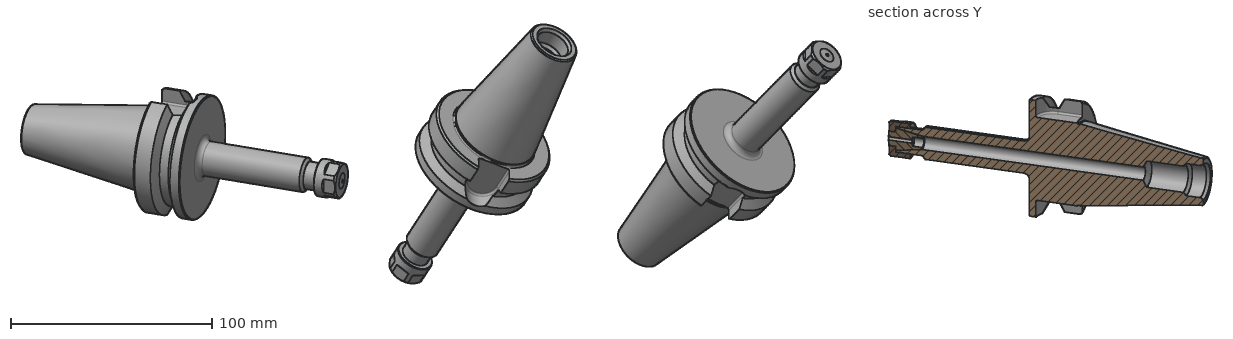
import cadquery as cq
import math


LENGTH = 167.0

TAPER_LENGTH = 65.5
TAPER_END_RADIUS = 22.2
TAPER_RATIO = 7 / 48
TAPER_START_RADIUS = TAPER_END_RADIUS - TAPER_RATIO * TAPER_LENGTH
TAPER_END_CHAMFER = 0.7

FLANGE_START = 67.3
FLANGE_END = 92.4
FLANGE_RADIUS = 63.0 / 2
FLANGE_CHAMFER = 1.0
FLANGE_END_CHAMFER = 0.5
UNDERCUT_RADIUS = 44.0 / 2
UNDERCUT_FILLET = 0.8
GROOVE_MIDDLE = 82.0
GROOVE_ROOT_WIDTH = 4.7
GROOVE_ROOT_RADIUS = 53.0 / 2
GROOVE_FLANK_ANGLE = 30

SLOT_WIDTH = 17.0
SLOT_END = 88.8
SLOT_FLOOR = 22.4
SLOT_FLOOR_FILLET = 1.0

SHAFT_RADIUS = 17.5 / 2
SHAFT_FILLET = 3.0
SHAFT_END = 148.8
SHAFT_CHAMFER = 1.5
NOSE_RADIUS = 14.0 / 2
NOSE_END = 163.0

MOUTH_RADIUS = 19.0 / 2
COUNTERBORE_RADIUS = 17.0 / 2
COUNTERBORE_DEPTH = 9.2
THREAD_BORE_RADIUS = 13.9 / 2
THREAD_BORE_DEPTH = 30.0
COOLANT_RADIUS = 6.8 / 2
MOUTH_ANGLE = 30
STEP_ANGLE = 45
DRILL_ANGLE = 60

COLLET_START = 149.0
COLLET_REAR_RADIUS = COOLANT_RADIUS
COLLET_LARGE_RADIUS = 11.9 / 2
COLLET_FRONT_RADIUS = 8.0 / 2
COLLET_TIP_RADIUS = 1.0
COLLET_HOLE_RADIUS = 1.52 / 2
COLLET_RELIEF_RADIUS = 2.3
COLLET_RELIEF_DEPTH = 5.0
COLLET_RELIEF_TIP_RADIUS = 1.8

NUT_START = 155.1
NUT_END = 166.7
NUT_RADIUS = 19.0 / 2
NUT_REAR_CHAMFER = 0.3
NUT_FRONT_CHAMFER = 1.0
FLAT_COUNT = 6
FLAT_DISTANCE = 17.5 / 2
FLAT_START = 160.3
FLAT_RUNOUT = 0.7


def cone_length(large_radius, small_radius, angle):
    """Axial length of a cone whose side makes the given angle in degrees with the axis."""
    return (large_radius - small_radius) / math.tan(math.radians(angle))


def turned(profile):
    """Close an outline of (x, radius) points and revolve it about the X axis."""
    return profile.close().revolve(360, (0, 0, 0), (1, 0, 0))


def slot_cutter():
    """Round-ended drive slot above the axis, with rounded floor edges."""
    arc_centre = SLOT_END - SLOT_WIDTH / 2
    height = FLANGE_RADIUS
    cutter = (
        cq.Workplane("XY", origin=(0, 0, SLOT_FLOOR))
        .moveTo(TAPER_LENGTH, -SLOT_WIDTH / 2)
        .lineTo(arc_centre, -SLOT_WIDTH / 2)
        .threePointArc((SLOT_END, 0), (arc_centre, SLOT_WIDTH / 2))
        .lineTo(TAPER_LENGTH, SLOT_WIDTH / 2)
        .close()
        .extrude(height)
    )
    return cutter.faces("<Z").edges("not <X").fillet(SLOT_FLOOR_FILLET)


def holder_blank():
    """Outer shape of the holder, before its bore and slots are cut."""
    flank = (FLANGE_RADIUS - GROOVE_ROOT_RADIUS) * math.tan(math.radians(GROOVE_FLANK_ANGLE))
    root_start = GROOVE_MIDDLE - GROOVE_ROOT_WIDTH / 2
    root_end = GROOVE_MIDDLE + GROOVE_ROOT_WIDTH / 2
    arc_offset = 1 - math.sqrt(0.5)
    return turned(
        cq.Workplane("XY")
        .moveTo(0, 0)
        .lineTo(0, TAPER_START_RADIUS - TAPER_END_CHAMFER)
        .lineTo(TAPER_END_CHAMFER, TAPER_START_RADIUS + TAPER_RATIO * TAPER_END_CHAMFER)
        .lineTo(TAPER_LENGTH, TAPER_END_RADIUS)
        .lineTo(TAPER_LENGTH, UNDERCUT_RADIUS)
        .lineTo(FLANGE_START - UNDERCUT_FILLET, UNDERCUT_RADIUS)
        .threePointArc(
            (FLANGE_START - arc_offset * UNDERCUT_FILLET, UNDERCUT_RADIUS + arc_offset * UNDERCUT_FILLET),
            (FLANGE_START, UNDERCUT_RADIUS + UNDERCUT_FILLET),
        )
        .lineTo(FLANGE_START, FLANGE_RADIUS - FLANGE_CHAMFER)
        .lineTo(FLANGE_START + FLANGE_CHAMFER, FLANGE_RADIUS)
        .lineTo(root_start - flank, FLANGE_RADIUS)
        .lineTo(root_start, GROOVE_ROOT_RADIUS)
        .lineTo(root_end, GROOVE_ROOT_RADIUS)
        .lineTo(root_end + flank, FLANGE_RADIUS)
        .lineTo(FLANGE_END - FLANGE_END_CHAMFER, FLANGE_RADIUS)
        .lineTo(FLANGE_END, FLANGE_RADIUS - FLANGE_END_CHAMFER)
        .lineTo(FLANGE_END, SHAFT_RADIUS + SHAFT_FILLET)
        .threePointArc(
            (FLANGE_END + arc_offset * SHAFT_FILLET, SHAFT_RADIUS + arc_offset * SHAFT_FILLET),
            (FLANGE_END + SHAFT_FILLET, SHAFT_RADIUS),
        )
        .lineTo(SHAFT_END - SHAFT_CHAMFER, SHAFT_RADIUS)
        .lineTo(SHAFT_END, SHAFT_RADIUS - SHAFT_CHAMFER)
        .lineTo(SHAFT_END, NOSE_RADIUS)
        .lineTo(NOSE_END, NOSE_RADIUS)
        .lineTo(NOSE_END, 0)
    )


def holder_bore():
    """Stepped bore that ends in the tapered seat of the collet."""
    mouth_end = cone_length(MOUTH_RADIUS, COUNTERBORE_RADIUS, MOUTH_ANGLE)
    thread_start = COUNTERBORE_DEPTH + cone_length(COUNTERBORE_RADIUS, THREAD_BORE_RADIUS, STEP_ANGLE)
    drill_end = THREAD_BORE_DEPTH + cone_length(THREAD_BORE_RADIUS, COOLANT_RADIUS, DRILL_ANGLE)
    return turned(
        cq.Workplane("XY")
        .moveTo(0, 0)
        .lineTo(0, MOUTH_RADIUS)
        .lineTo(mouth_end, COUNTERBORE_RADIUS)
        .lineTo(COUNTERBORE_DEPTH, COUNTERBORE_RADIUS)
        .lineTo(thread_start, THREAD_BORE_RADIUS)
        .lineTo(THREAD_BORE_DEPTH, THREAD_BORE_RADIUS)
        .lineTo(drill_end, COOLANT_RADIUS)
        .lineTo(COLLET_START, COLLET_REAR_RADIUS)
        .lineTo(NOSE_END, COLLET_LARGE_RADIUS)
        .lineTo(NOSE_END, 0)
    )


def make_holder():
    holder = holder_blank().cut(holder_bore())
    for angle in (0, 180):
        holder = holder.cut(slot_cutter().rotate((0, 0, 0), (1, 0, 0), angle))
    return holder


def make_collet():
    """Collet seated in the nose: clamping hole opened out at the rear, low cone at the front."""
    relief_tip = COLLET_START + COLLET_RELIEF_DEPTH
    hole_start = relief_tip + cone_length(COLLET_RELIEF_TIP_RADIUS, COLLET_HOLE_RADIUS, DRILL_ANGLE)
    return turned(
        cq.Workplane("XY")
        .moveTo(COLLET_START, COLLET_RELIEF_RADIUS)
        .lineTo(COLLET_START, COLLET_REAR_RADIUS)
        .lineTo(NOSE_END, COLLET_LARGE_RADIUS)
        .lineTo(NOSE_END, COLLET_FRONT_RADIUS)
        .lineTo(NUT_END, COLLET_FRONT_RADIUS)
        .lineTo(LENGTH, COLLET_TIP_RADIUS)
        .lineTo(LENGTH, COLLET_HOLE_RADIUS)
        .lineTo(hole_start, COLLET_HOLE_RADIUS)
        .lineTo(relief_tip, COLLET_RELIEF_TIP_RADIUS)
        .lineTo(relief_tip, COLLET_RELIEF_RADIUS)
    )


def flat_cutter():
    """Wedge-ended block that mills one flat on the -Y side of the nut."""
    depth = NUT_RADIUS - FLAT_DISTANCE
    return (
        cq.Workplane("XY")
        .moveTo(FLAT_START, -FLAT_DISTANCE)
        .lineTo(LENGTH, -FLAT_DISTANCE)
        .lineTo(LENGTH, -NUT_RADIUS)
        .lineTo(FLAT_START - FLAT_RUNOUT, -FLAT_DISTANCE - depth)
        .close()
        .extrude(NUT_RADIUS, both=True)
    )


def make_nut():
    """Nut that encloses the nose and the front of the collet, with six spanner flats."""
    nut = turned(
        cq.Workplane("XY")
        .moveTo(NUT_START, NOSE_RADIUS)
        .lineTo(NUT_START, NUT_RADIUS - NUT_REAR_CHAMFER)
        .lineTo(NUT_START + NUT_REAR_CHAMFER, NUT_RADIUS)
        .lineTo(NUT_END - NUT_FRONT_CHAMFER, NUT_RADIUS)
        .lineTo(NUT_END, NUT_RADIUS - NUT_FRONT_CHAMFER)
        .lineTo(NUT_END, COLLET_FRONT_RADIUS)
        .lineTo(NOSE_END, COLLET_FRONT_RADIUS)
        .lineTo(NOSE_END, NOSE_RADIUS)
    )
    for i in range(FLAT_COUNT):
        nut = nut.cut(flat_cutter().rotate((0, 0, 0), (1, 0, 0), i * 360 / FLAT_COUNT))
    return nut


holder = make_holder()
collet = make_collet()
nut = make_nut()

result = cq.Compound.makeCompound([holder.val(), collet.val(), nut.val()])